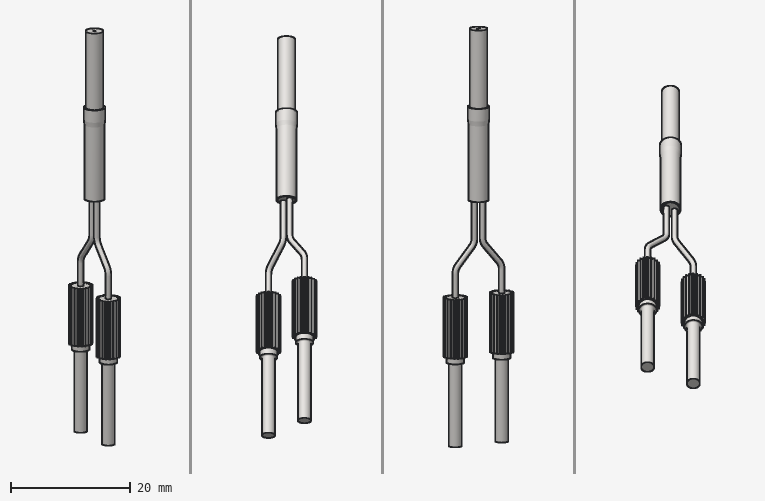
import cadquery as cq
import math

total_height = 71.4
tube_length = 14.35
lip_height = 1.1
grip_length = 10.15
wire_lower_length = 4.1
bend_height = 5.7
wire_upper_length = 6.6
sleeve_length = 13.1
cone_height = 0.85
collar_height = 2.15

lip_bottom = tube_length
grip_bottom = lip_bottom + lip_height
grip_top = grip_bottom + grip_length
bend_bottom = grip_top + wire_lower_length
bend_top = bend_bottom + bend_height
sleeve_bottom = bend_top + wire_upper_length
cone_bottom = sleeve_bottom + sleeve_length
collar_bottom = cone_bottom + cone_height
collar_top = collar_bottom + collar_height

rod_diameter = 3.0
collar_diameter = 3.65
sleeve_diameter = 3.4
wire_diameter = 1.0
tube_diameter = 2.2
lip_diameter = 3.0
lip_fillet = 0.2

wire_spacing = 1.5
lead_spacing = 8.5
wire_offset = wire_spacing / 2
lead_offset = lead_spacing / 2

groove_count = 20
groove_width = 0.5
groove_depth = 0.35
grip_width = 4.0
grip_diameter = math.hypot(grip_width, groove_width)

fibre_diameter = 0.2
fibre_spacing = 0.35
fibre_depth = 0.2

lean_angle = math.radians(40)
sideways_shift = lead_offset - wire_offset
bend_radius = (
    bend_height * math.sin(lean_angle) - sideways_shift * math.cos(lean_angle)
) / (2 * (1 - math.cos(lean_angle)))


def cylinder(diameter, bottom, top, x=0.0):
    """Upright cylinder between two heights."""
    return cq.Workplane("XY", origin=(x, 0, bottom)).circle(diameter / 2).extrude(top - bottom)


def bent_wire(side):
    """Wire from the rod's lower end to the grip, offset outward through two bends."""

    def arc_point(angle):
        """Offset from the straight end of a bend, sideways and along Z."""
        return bend_radius * (1 - math.cos(angle)), bend_radius * math.sin(angle)

    mid_x, mid_z = arc_point(lean_angle / 2)
    end_x, end_z = arc_point(lean_angle)
    path = (
        cq.Workplane("XZ")
        .moveTo(side * wire_offset, sleeve_bottom)
        .lineTo(side * wire_offset, bend_top)
        .threePointArc(
            (side * (wire_offset + mid_x), bend_top - mid_z),
            (side * (wire_offset + end_x), bend_top - end_z),
        )
        .lineTo(side * (lead_offset - end_x), bend_bottom + end_z)
        .threePointArc(
            (side * (lead_offset - mid_x), bend_bottom + mid_z),
            (side * lead_offset, bend_bottom),
        )
        .lineTo(side * lead_offset, grip_top)
    )
    profile = cq.Workplane("XY", origin=(side * wire_offset, 0, sleeve_bottom)).circle(wire_diameter / 2)
    return profile.sweep(path)


def knurled_grip(x):
    """Cylinder with straight V grooves all around; one groove faces along +X."""
    groove_bottom = grip_width / 2 - groove_depth
    v_end = groove_bottom + 2 * groove_depth
    groove = (
        cq.Workplane("XY", origin=(x, 0, grip_bottom))
        .polyline([(groove_bottom, 0), (v_end, -groove_width), (v_end, groove_width)])
        .close()
        .extrude(grip_length)
    )
    grip = cylinder(grip_diameter, grip_bottom, grip_top, x)
    for index in range(groove_count):
        grip = grip.cut(groove.rotate((x, 0, 0), (x, 0, 1), index * 360 / groove_count))
    return grip


def lead_tube(x):
    """Tube with a lip at its upper end; a concave fillet joins the two."""
    tube_radius = tube_diameter / 2
    lip_radius = lip_diameter / 2
    half_section = (
        cq.Workplane("XZ", origin=(x, 0, 0))
        .lineTo(tube_radius, 0)
        .lineTo(tube_radius, lip_bottom - lip_fillet)
        .radiusArc((tube_radius + lip_fillet, lip_bottom), lip_fillet)
        .lineTo(lip_radius, lip_bottom)
        .lineTo(lip_radius, grip_bottom)
        .lineTo(0, grip_bottom)
        .close()
    )
    return half_section.revolve(360, (0, 0), (0, 1))


def lead(side):
    """One wire with its grip, lip and tube."""
    x = side * lead_offset
    return (
        bent_wire(side)
        .union(knurled_grip(x))
        .union(lead_tube(x))
    )


def make_fibre_unit():
    """Rod that runs through the sleeve and carries both leads at its lower end."""
    unit = cylinder(rod_diameter, sleeve_bottom, total_height)
    for side in (-1, 1):
        unit = unit.union(lead(side))
        fibre_x = side * fibre_spacing / 2
        unit = unit.cut(cylinder(fibre_diameter, total_height - fibre_depth, total_height, fibre_x))
    return unit


def make_sleeve():
    """Sleeve that widens through a short cone to a collar, bored to fit the rod."""
    half_section = [
        (rod_diameter / 2, sleeve_bottom),
        (sleeve_diameter / 2, sleeve_bottom),
        (sleeve_diameter / 2, cone_bottom),
        (collar_diameter / 2, collar_bottom),
        (collar_diameter / 2, collar_top),
        (rod_diameter / 2, collar_top),
    ]
    return cq.Workplane("XZ").polyline(half_section).close().revolve(360, (0, 0), (0, 1))


fibre_unit = make_fibre_unit()
sleeve = make_sleeve()

result = cq.Compound.makeCompound([fibre_unit.val(), sleeve.val()])